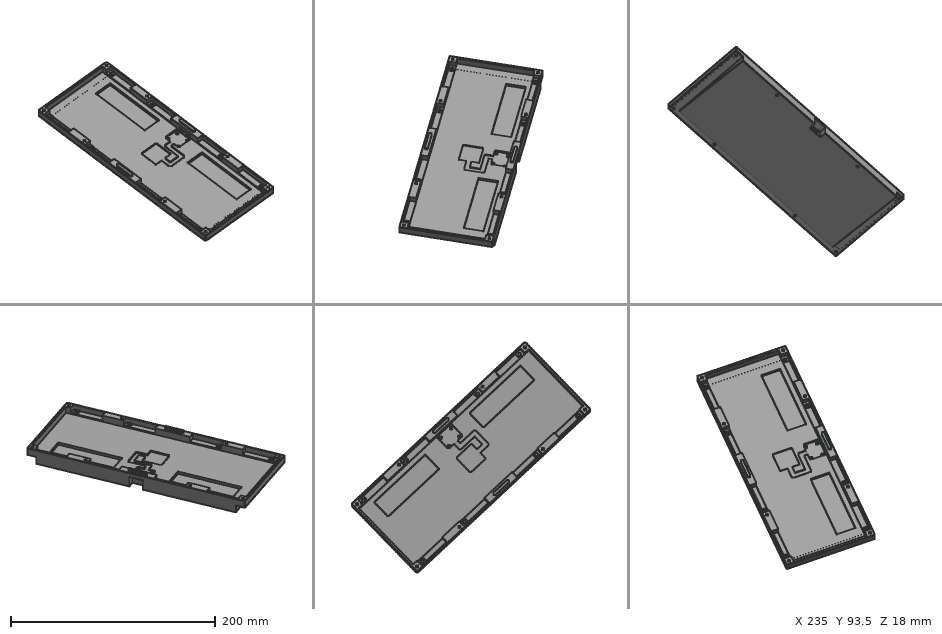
import cadquery as cq
import math

length = 235.0
width = 93.5
height = 18.0
tongue_height = 2.0
top_z = height / 2
bottom_z = -top_z
rim_z = top_z - tongue_height
tray_bottom_z = -1.5
floor_z = -0.2
outer_chamfer = 0.7
rim_chamfer = 0.5
end_wall = 2.5
side_wall = 8.0
cavity_length = length - 2 * end_wall
cavity_half_width = width / 2 - side_wall

wedge_length = 215.7
wedge_chamfer = 0.5
tilt = 5.0
wedge_slope = math.tan(math.radians(tilt))
deepest_y = width / 2 - wedge_chamfer

relief_length = 33.8
relief_outer_y = 45.0
relief_floor_z = 1.2
relief_starts = (52.6, 109.5)
relief_radius = 1.5
pad_z = 1.9
pad_length = 6.8
pad_radius = 3.0
pad_hole_inset = 4.0
pad_hole_y = 41.8
pad_hole_diameter = 3.0
pad_hole_depth = 1.5

rim_feature_y = 42.8
wall_hole_x = (56.5, 113.5)
wall_hole_diameter = 2.3
tongue_length = 20.7
tongue_width = 3.0

window_length = 68.8
window_width = 19.7
window_depth = 2.8
window_x = 64.4
window_y = 23.7

board_length = 19.3
board_front_y = 21.9
board_depth = 1.5
board_radius = 1.6
board_hole_x = 6.93
board_hole_y = (23.7, 35.7)
board_hole_diameter = 2.8
board_hole_depth = 1.2

channel_depth = 1.5
battery_length = 20.7
battery_width = 20.5
battery_radius = 1.5
channel_width = 5.0
channel_x = 0.2
channel_turn_y = 15.62
channel_right_x = 20.0
channel_end_y = 0.0
channel_radius = 1.9

port_width = 10.3
port_height = 5.0
port_centre_z = -0.2
port_radius = 1.9
plug_width = 14.5
plug_depth = 7.0
plug_top_z = 2.0


def block(x_min, x_max, y_min, y_max, z_min, z_max):
    """Box given by its limits along each axis."""
    size = (x_max - x_min, y_max - y_min, z_max - z_min)
    return cq.Workplane("XY").box(*size, centered=False).translate((x_min, y_min, z_min))


def wedge_z(y):
    """Height of the sloping underside at a given Y."""
    return bottom_z + wedge_slope * (deepest_y - y)


def make_tray():
    tray = block(-length / 2, length / 2, -width / 2, width / 2, tray_bottom_z, rim_z)
    tray = tray.edges("|Z or <Z").chamfer(outer_chamfer)
    tray = tray.faces(">Z").edges().chamfer(rim_chamfer)
    back_y = width / 2
    front_y = deepest_y - (floor_z - bottom_z) / wedge_slope
    wedge = (
        cq.Workplane("YZ")
        .polyline([(back_y, wedge_z(back_y)), (back_y, floor_z), (front_y, floor_z)])
        .close()
        .extrude(wedge_length / 2, both=True)
        .edges("<Z or (|Z and >Y) or (not (|X or |Y or |Z))")
        .chamfer(wedge_chamfer)
    )
    envelope = block(-length / 2, length / 2, -width / 2, width / 2, bottom_z, rim_z)
    wedge = wedge.intersect(envelope)
    cavity = block(
        -cavity_length / 2, cavity_length / 2, -cavity_half_width, cavity_half_width, floor_z, rim_z
    )
    return tray.union(wedge).cut(cavity)


def make_relief(start_x):
    """Relief pocket beside the +X, +Y wall, with its screw pad left standing at the outer end."""
    pocket = block(
        start_x - relief_length, start_x, cavity_half_width, relief_outer_y, relief_floor_z, rim_z
    )
    pocket = pocket.edges("|Z and >X and >Y").fillet(relief_radius)
    pad = block(
        start_x - pad_length, start_x, cavity_half_width, relief_outer_y, relief_floor_z, pad_z
    )
    pad = pad.edges("|Z and <X and <Y").fillet(pad_radius)
    hole = (
        cq.Workplane("XY", origin=(start_x - pad_hole_inset, pad_hole_y, pad_z))
        .circle(pad_hole_diameter / 2)
        .extrude(-pad_hole_depth)
    )
    return pocket.cut(pad).union(hole)


def cut_reliefs(body):
    for start_x in relief_starts:
        relief = make_relief(start_x)
        mirrored = relief.mirror("YZ")
        for cutter in (relief, mirrored):
            body = body.cut(cutter).cut(cutter.mirror("XZ"))
    return body


def cut_wall_holes(body):
    points = [
        (side * x, end * rim_feature_y) for x in wall_hole_x for side in (-1, 1) for end in (-1, 1)
    ]
    holes = (
        cq.Workplane("XY", origin=(0, 0, bottom_z))
        .pushPoints(points)
        .circle(wall_hole_diameter / 2)
        .extrude(height)
    )
    return body.cut(holes)


def add_tongues(body):
    tongues = (
        cq.Workplane("XY", origin=(0, 0, rim_z))
        .pushPoints([(0, rim_feature_y), (0, -rim_feature_y)])
        .slot2D(tongue_length, tongue_width)
        .extrude(tongue_height)
    )
    return body.union(tongues)


def cut_windows(body):
    windows = (
        cq.Workplane("XY", origin=(0, 0, floor_z))
        .pushPoints([(-window_x, window_y), (window_x, window_y)])
        .rect(window_length, window_width)
        .extrude(-window_depth)
    )
    return body.cut(windows)


def cut_board_pocket(body):
    """Pocket whose floor is parallel to the sloping underside, plus its screw holes."""
    front_z = floor_z - board_depth
    back_z = front_z - wedge_slope * (cavity_half_width - board_front_y)
    pocket = (
        cq.Workplane("YZ")
        .polyline([
            (board_front_y, floor_z),
            (cavity_half_width, floor_z),
            (cavity_half_width, back_z),
            (board_front_y, front_z),
        ])
        .close()
        .extrude(board_length / 2, both=True)
        .edges("|Z and <Y")
        .fillet(board_radius)
    )
    body = body.cut(pocket)
    for y in board_hole_y:
        hole_z = front_z - wedge_slope * (y - board_front_y)
        holes = (
            cq.Workplane("XY", origin=(0, y, hole_z))
            .transformed(rotate=(-tilt, 0, 0))
            .pushPoints([(-board_hole_x, 0), (board_hole_x, 0)])
            .circle(board_hole_diameter / 2)
            .extrude(board_hole_depth, both=True)
        )
        body = body.cut(holes)
    return body


def cut_battery_pocket(body):
    half = channel_width / 2
    bottom = floor_z - channel_depth
    battery = block(
        -battery_length / 2, battery_length / 2, -battery_width / 2, battery_width / 2, bottom, floor_z
    )
    battery = battery.edges("|Z and <X").fillet(battery_radius)
    drop = block(
        channel_x - half, channel_x + half, channel_turn_y - half, board_front_y + half, bottom, floor_z
    )
    drop = drop.edges("|Z and <X and <Y").fillet(channel_radius)
    across = block(
        channel_x, channel_right_x + half, channel_turn_y - half, channel_turn_y + half, bottom, floor_z
    )
    across = across.edges("|Z and >X and >Y").fillet(channel_radius)
    down = block(
        channel_right_x - half, channel_right_x + half,
        channel_end_y - half, channel_turn_y, bottom, floor_z,
    )
    down = down.edges("|Z and >X and <Y").fillet(channel_radius)
    back = block(0, channel_right_x, channel_end_y - half, channel_end_y + half, bottom, floor_z)
    for cutter in (battery, drop, across, down, back):
        body = body.cut(cutter)
    return body


def cut_port(body):
    port = block(
        -port_width / 2, port_width / 2, cavity_half_width, width / 2,
        port_centre_z - port_height / 2, port_centre_z + port_height / 2,
    )
    port = port.edges("|Y").fillet(port_radius)
    plug = block(
        -plug_width / 2, plug_width / 2, width / 2 - plug_depth, width / 2, bottom_z, plug_top_z
    )
    return body.cut(port).cut(plug)


result = make_tray()
result = cut_reliefs(result)
result = cut_wall_holes(result)
result = cut_windows(result)
result = cut_board_pocket(result)
result = cut_battery_pocket(result)
result = cut_port(result)
result = add_tongues(result)